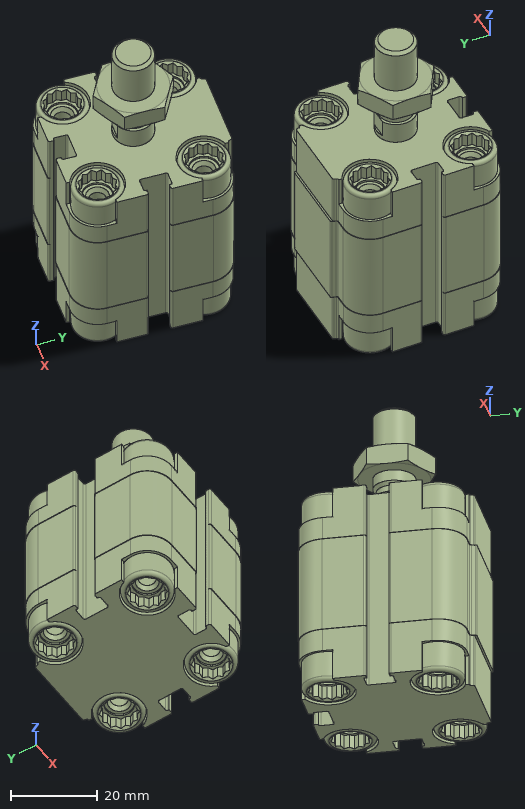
import cadquery as cq
import math

housing_height = 49.5
cap_height = 13.0
total_height = 77.0

barrel_half_width = 19.98
barrel_pad_y = 21.52
cap_half_width = 19.9
cap_pad_y = 21.0
pad_top_half_width = 9.7
pad_base_half_width = 10.1
pad_rounding = 0.4

screw_offset = 13.0
recess_depth = 7.5
recess_diameter = 12.9
recess_side_reach = 2.5
head_diameter = 12.5
head_sink = 0.15
head_rounding = 1.0

countersink_diameter = 10.0
countersink_depth = 0.6
socket_across_flats = 8.1
socket_depth = 3.7
counterbore_diameter = 7.2
counterbore_depth = 4.2
cone_diameter = 5.55
screw_hole_diameter = 4.15
cone_depth = 1.15

slot_mouth_width = 5.5
slot_inner_width = 6.9
slot_depth = 5.1
slot_lip = 1.5
slot_corner_radius = 0.5
mouth_rounding = 0.5

rod_diameter = 10.0
rod_projection = 5.5
rod_flats_width = 9.0
rod_flats_start = 1.15
neck_diameter = 8.5
neck_length = 1.9
neck_cone_length = 0.85
stud_tip_diameter = 8.3
stud_tip_length = 0.8
nut_width = 17.0
nut_height = 5.0
nut_gap = 5.5
nut_chamfer_angle = 15

rod_end_z = housing_height + rod_projection
rod_base_z = housing_height - cap_height


def slot_cutter(face_y, turn):
    """T-shaped groove from a -Y face at distance face_y, turned about Z to its own side."""
    floor_y = barrel_half_width - slot_depth
    lip_y = barrel_half_width - slot_lip
    groove = (
        cq.Workplane("XY")
        .center(0, -(floor_y + lip_y) / 2)
        .rect(slot_inner_width, lip_y - floor_y)
        .extrude(housing_height)
        .edges("|Z")
        .fillet(slot_corner_radius)
    )
    half_mouth = slot_mouth_width / 2
    half_flare = half_mouth + mouth_rounding
    rounding_y = face_y - mouth_rounding
    arc_y = rounding_y + mouth_rounding * math.sqrt(0.5)
    arc_x = half_flare - mouth_rounding * math.sqrt(0.5)
    mouth = (
        cq.Workplane("XY")
        .moveTo(-half_mouth, -floor_y)
        .lineTo(half_mouth, -floor_y)
        .lineTo(half_mouth, -rounding_y)
        .threePointArc((arc_x, -arc_y), (half_flare, -face_y))
        .lineTo(-half_flare, -face_y)
        .threePointArc((-arc_x, -arc_y), (-half_mouth, -rounding_y))
        .close()
        .extrude(housing_height)
    )
    return groove.union(mouth).rotate((0, 0, 0), (0, 0, 1), turn)


def housing_section(half_width, pad_y, base_z, height):
    """Length of the slotted profile, its corners concentric with the screws."""
    corner_radius = half_width - screw_offset
    block = (
        cq.Workplane("XY", origin=(0, 0, base_z))
        .rect(2 * half_width, 2 * half_width)
        .extrude(height)
        .edges("|Z")
        .fillet(corner_radius)
    )
    pad = (
        cq.Workplane("XY", origin=(0, 0, base_z))
        .moveTo(-pad_base_half_width, 0)
        .lineTo(-pad_base_half_width, half_width)
        .lineTo(-pad_top_half_width, pad_y)
        .lineTo(pad_top_half_width, pad_y)
        .lineTo(pad_base_half_width, half_width)
        .lineTo(pad_base_half_width, 0)
        .close()
        .extrude(height)
    )
    pad_corners = cq.selectors.BoxSelector(
        (-screw_offset, half_width - pad_rounding, base_z),
        (screw_offset, pad_y + pad_rounding, base_z + height),
    )
    section = block.union(pad).edges("|Z").edges(pad_corners).fillet(pad_rounding)
    for turn in (-90, 0, 90):
        section = section.cut(slot_cutter(half_width, turn))
    return section


def both_ends(top_feature):
    """A feature of the top end together with its mirror image at the bottom end."""
    middle = (0, 0, housing_height / 2)
    return [top_feature, top_feature.mirror("XY", middle)]


def recess_cutter(side_x, side_y):
    """Pocket around a screw head, open towards the housing corner."""
    floor_z = housing_height - recess_depth
    pocket = cq.Workplane("XY", origin=(0, 0, floor_z)).circle(recess_diameter / 2).extrude(recess_depth)
    opening = (
        cq.Workplane("XY", origin=(0, 0, floor_z))
        .rect(barrel_half_width, barrel_half_width, centered=False)
        .extrude(recess_depth)
        .translate((-recess_side_reach, -recess_side_reach, 0))
    )
    if side_x < 0:
        opening = opening.mirror("YZ")
    if side_y < 0:
        opening = opening.mirror("XZ")
    return pocket.union(opening).translate((side_x * screw_offset, side_y * screw_offset, 0))


def screw_head():
    """Round screw head standing on the recess floor."""
    return (
        cq.Workplane("XY", origin=(0, 0, housing_height - recess_depth))
        .circle(head_diameter / 2)
        .extrude(recess_depth - head_sink)
        .faces(">Z")
        .edges()
        .fillet(head_rounding)
    )


def truncated_cone(base_z, base_diameter, height, top_diameter):
    """Upright cone on the Z axis, cut off at both ends."""
    return cq.Workplane(
        cq.Solid.makeCone(base_diameter / 2, top_diameter / 2, height, cq.Vector(0, 0, base_z))
    )


def screw_socket():
    """Countersunk twelve-point socket with the stepped bore below it."""
    head_top = housing_height - head_sink
    across_corners = socket_across_flats / math.cos(math.radians(30))
    hexagon = (
        cq.Workplane("XY", origin=(0, 0, head_top - socket_depth))
        .polygon(6, across_corners)
        .extrude(socket_depth)
    )
    counterbore_floor = head_top - counterbore_depth
    counterbore = (
        cq.Workplane("XY", origin=(0, 0, counterbore_floor))
        .circle(counterbore_diameter / 2)
        .extrude(counterbore_depth)
    )
    countersink = truncated_cone(
        head_top - countersink_depth, socket_across_flats, countersink_depth, countersink_diameter
    )
    hole_cone = truncated_cone(counterbore_floor - cone_depth, screw_hole_diameter, cone_depth, cone_diameter)
    socket = hexagon.union(hexagon.rotate((0, 0, 0), (0, 0, 1), 30))
    return socket.union(counterbore).union(countersink).union(hole_cone)


def make_housing():
    """Barrel between two slightly slimmer end caps, with the corner screws and the rod hole."""
    barrel_height = housing_height - 2 * cap_height
    body = housing_section(barrel_half_width, barrel_pad_y, cap_height, barrel_height)
    for base_z in (0, cap_height + barrel_height):
        body = body.union(housing_section(cap_half_width, cap_pad_y, base_z, cap_height))

    through_hole = cq.Workplane("XY").circle(screw_hole_diameter / 2).extrude(housing_height)
    for side_x in (-1, 1):
        for side_y in (-1, 1):
            place = (side_x * screw_offset, side_y * screw_offset, 0)
            for recess in both_ends(recess_cutter(side_x, side_y)):
                body = body.cut(recess)
            for head in both_ends(screw_head()):
                body = body.union(head.translate(place))
            for socket in both_ends(screw_socket()):
                body = body.cut(socket.translate(place))
            body = body.cut(through_hole.translate(place))

    rod_hole = cq.Workplane("XY", origin=(0, 0, rod_base_z)).circle(rod_diameter / 2).extrude(cap_height)
    return body.cut(rod_hole).solids()


def make_rod():
    """Piston rod seated in the top cap, with wrench flats facing -Y and +Y."""
    rod = (
        cq.Workplane("XY", origin=(0, 0, rod_base_z))
        .circle(rod_diameter / 2)
        .extrude(rod_end_z - rod_base_z)
    )
    flats_z = housing_height + rod_flats_start
    flats_height = rod_end_z - flats_z
    between_flats = (
        cq.Workplane("XY", origin=(0, 0, flats_z))
        .rect(rod_diameter, rod_flats_width)
        .extrude(flats_height)
    )
    flats_zone = (
        cq.Workplane("XY", origin=(0, 0, flats_z))
        .rect(2 * rod_diameter, 2 * rod_diameter)
        .extrude(flats_height)
    )
    return rod.cut(flats_zone.cut(between_flats))


def make_stud():
    """Threaded stud standing on the rod end, with a neck and a chamfered tip."""
    stud_radius = rod_diameter / 2
    neck_radius = neck_diameter / 2
    neck_top = rod_end_z + neck_length
    return (
        cq.Workplane("XZ")
        .moveTo(0, rod_end_z)
        .lineTo(neck_radius, rod_end_z)
        .lineTo(neck_radius, neck_top)
        .lineTo(stud_radius, neck_top + neck_cone_length)
        .lineTo(stud_radius, total_height - stud_tip_length)
        .lineTo(stud_tip_diameter / 2, total_height)
        .lineTo(0, total_height)
        .close()
        .revolve(360, (0, 0, 0), (0, 1, 0))
    )


def make_nut():
    """Hexagon nut with two flats facing -X and +X, chamfered at both ends."""
    base_z = rod_end_z + nut_gap
    corner_radius = nut_width / 2 / math.cos(math.radians(30))
    chamfer_height = (corner_radius - nut_width / 2) * math.tan(math.radians(nut_chamfer_angle))
    hexagon = (
        cq.Workplane("XY", origin=(0, 0, base_z))
        .polygon(6, 2 * corner_radius)
        .extrude(nut_height)
        .rotate((0, 0, 0), (0, 0, 1), 30)
    )
    chamfered_disc = (
        cq.Workplane("XZ")
        .moveTo(0, base_z)
        .lineTo(nut_width / 2, base_z)
        .lineTo(corner_radius, base_z + chamfer_height)
        .lineTo(corner_radius, base_z + nut_height - chamfer_height)
        .lineTo(nut_width / 2, base_z + nut_height)
        .lineTo(0, base_z + nut_height)
        .close()
        .revolve(360, (0, 0, 0), (0, 1, 0))
    )
    stud_hole = cq.Workplane("XY", origin=(0, 0, base_z)).circle(rod_diameter / 2).extrude(nut_height)
    return hexagon.intersect(chamfered_disc).cut(stud_hole)


housing = make_housing()
rod = make_rod()
stud = make_stud()
nut = make_nut()

result = cq.Compound.makeCompound([housing.val(), rod.val(), stud.val(), nut.val()])